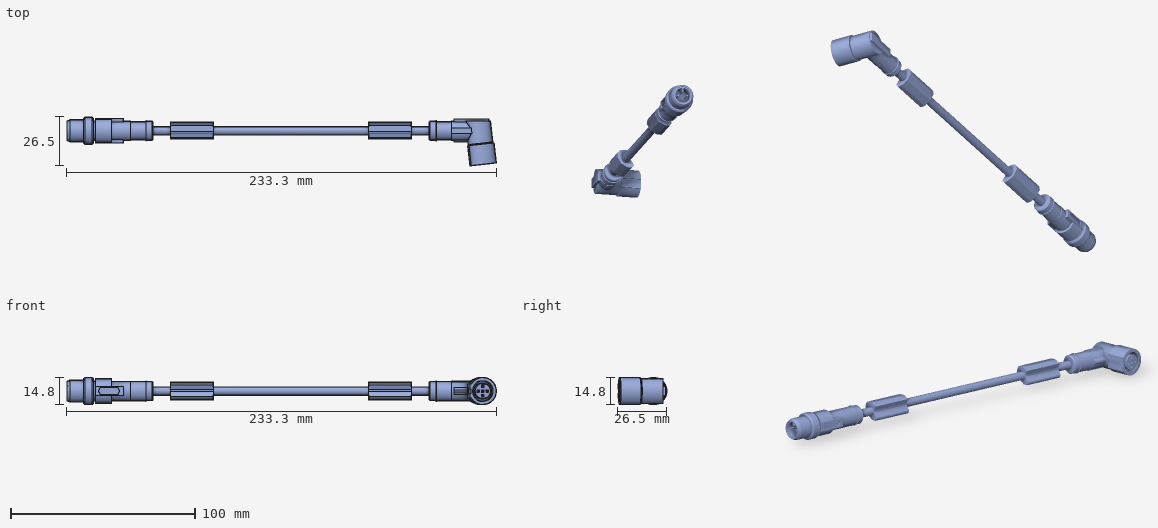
import cadquery as cq
import math

TOTAL_LENGTH = 233.31
LOWEST_Y = -19.1
NUT_RADIUS = 7.4
CABLE_RADIUS = 2.3

CONTACT_CIRCLE_RADIUS = 2.5
PIN_RADIUS = 0.5
PIN_ANGLES = (0, 90, 180)
CONTACT_HOLE_RADIUS = 0.7
CONTACT_HOLE_ANGLES = (0, 90, 180, 270)
CONTACT_HOLE_DEPTH = 5.0

THREAD_START = 1.8
THREAD_END = 9.2
THREAD_RADIUS = 6.0
TIP_RADIUS = 5.2
NUT_END = 14.5
NUT_CHAMFER = 0.7
NECK_RADIUS = 5.4
COLLAR_START = 15.5
COLLAR_END = 24.4
COLLAR_RADIUS = 6.7
BODY_RADIUS = 5.3
BODY_END = 34.7
PLUG_END = 46.9
PLUG_BORE_RADIUS = 4.1
PLUG_MOUTH_RADIUS = 4.7
PLUG_MOUTH_DEPTH = 0.8
PLUG_BORE_DEPTH = 8.0
PIN_TIP_INSET = 1.0
KEY_WIDTH = 1.0
KEY_HEIGHT = 0.9

PAD_HALF_WIDTH = 2.5
PLUG_PAD_END = 30.7
PAD_POCKET_START = 17.2
PAD_POCKET_LENGTH = 11.5
PAD_POCKET_WIDTH = 3.6
PAD_POCKET_DEPTH = 0.6

RELIEF_HALF_WIDTH_Y = 4.95
RELIEF_RING_RADIUS = 5.6
RELIEF_RING_WIDTH = 0.2
RELIEF_TAIL_LENGTH = 4.0
RELIEF_TAIL_RADIUS = 5.2
RELIEF_TAIL_CHAMFER = 0.5
RELIEF_LENGTH = PLUG_END - BODY_END

MARKER_LENGTH = 23.3
MARKER_STARTS = (56.3, 163.9)
MARKER_HALF_SIZE = 4.8

SOCKET_START = 196.8
SOCKET_BODY_START = SOCKET_START + RELIEF_LENGTH
SOCKET_PAD_START = 210.2
SOCKET_PAD_END = 229.2
SOCKET_PAD_HEIGHT = 6.5
RIDGE_DEPTH = 6.2
RIDGE_BASE_DEPTH = 4.8
RIDGE_BASE_HALF_WIDTH = 2.0
RIDGE_CREST_HALF_WIDTH = 0.5
SIDE_RIB_START = 209.0
SIDE_RIB_END = 220.0
SIDE_RIB_HALF_WIDTH = 1.6
SIDE_RIB_HEIGHT = 5.5
HEAD_TILT = 6.5
HEAD_RADIUS = 6.8
HEAD_TOP_Y = 5.3
SOCKET_NUT_LENGTH = 11.0
SOCKET_GAP = 0.6
SOCKET_GAP_RADIUS = 5.8
SOCKET_NUT_BORE_RADIUS = 5.6
SOCKET_INSERT_RADIUS = 4.2
SOCKET_RECESS_DEPTH = 7.0
NUT_PAD_HALF_WIDTH = 3.85
NUT_PAD_HEIGHT = 7.1
NUT_PAD_GROOVE_WIDTH = 2.4
NUT_PAD_GROOVE_DEPTH = 0.5

tilt = math.radians(HEAD_TILT)
FACE_CENTER_X = TOTAL_LENGTH - NUT_RADIUS * math.cos(tilt)
FACE_CENTER_Y = LOWEST_Y + NUT_PAD_HEIGHT * math.sin(tilt)


def rod(start, end, radius):
    """Cylinder along X."""
    return cq.Workplane("YZ").workplane(offset=start).circle(radius).extrude(end - start)


def box(x_range, y_range, z_range):
    """Box between the given limits along each axis."""
    sizes = [high - low for low, high in (x_range, y_range, z_range)]
    corner = (x_range[0], y_range[0], z_range[0])
    return cq.Workplane("XY").box(*sizes, centered=False).translate(corner)


def contact_points(angles):
    """Positions on the contact circle at the given angles in degrees."""
    radians = [math.radians(angle) for angle in angles]
    return [(CONTACT_CIRCLE_RADIUS * math.cos(a), CONTACT_CIRCLE_RADIUS * math.sin(a)) for a in radians]


def strain_relief():
    """Elliptical barrel from X = 0, with a ring and a chamfered tail at the cable end."""
    ring_start = RELIEF_LENGTH - RELIEF_TAIL_LENGTH
    ring_end = ring_start + RELIEF_RING_WIDTH
    barrel = cq.Workplane("YZ").ellipse(RELIEF_HALF_WIDTH_Y, BODY_RADIUS).extrude(ring_start)
    ring = rod(ring_start, ring_end, RELIEF_RING_RADIUS)
    tail = rod(ring_end, RELIEF_LENGTH, RELIEF_TAIL_RADIUS).edges(">X").chamfer(RELIEF_TAIL_CHAMFER)
    return barrel.union(ring).union(tail)


def plug_pads():
    """Pads on both sides of the plug, each with a long pointed pocket."""
    pads = box(
        (COLLAR_START, PLUG_PAD_END), (-COLLAR_RADIUS, COLLAR_RADIUS), (-PAD_HALF_WIDTH, PAD_HALF_WIDTH)
    )
    pocket_end = PAD_POCKET_START + PAD_POCKET_LENGTH
    half = PAD_POCKET_WIDTH / 2
    floor = COLLAR_RADIUS - PAD_POCKET_DEPTH
    pocket = (
        cq.Workplane("XZ")
        .polyline([
            (PAD_POCKET_START, 0), (PAD_POCKET_START + half / 2, half), (pocket_end - half / 2, half),
            (pocket_end, 0), (pocket_end - half / 2, -half), (PAD_POCKET_START + half / 2, -half),
        ])
        .close().extrude(PAD_POCKET_DEPTH).translate((0, -floor, 0))
    )
    return pads, pocket.union(pocket.mirror("XZ"))


def plug():
    """Straight male plug with threaded ring, collar, pads and strain relief."""
    tip = (
        cq.Workplane("YZ").circle(TIP_RADIUS)
        .workplane(offset=THREAD_START).circle(THREAD_RADIUS).loft()
    )
    nut = rod(THREAD_END, NUT_END, NUT_RADIUS).edges().chamfer(NUT_CHAMFER)
    pads, pockets = plug_pads()
    body = tip.union(rod(THREAD_START, THREAD_END, THREAD_RADIUS)).union(nut)
    body = body.union(rod(NUT_END, COLLAR_START, NECK_RADIUS))
    body = body.union(rod(COLLAR_START, COLLAR_END, COLLAR_RADIUS))
    body = body.union(rod(COLLAR_END, BODY_END, BODY_RADIUS)).union(pads).cut(pockets)
    body = body.union(strain_relief().translate((BODY_END, 0, 0)))
    body = body.cut(rod(0, PLUG_BORE_DEPTH, PLUG_BORE_RADIUS))
    body = body.cut(rod(0, PLUG_MOUTH_DEPTH, PLUG_MOUTH_RADIUS))
    pins = (
        cq.Workplane("YZ").workplane(offset=PIN_TIP_INSET).pushPoints(contact_points(PIN_ANGLES))
        .circle(PIN_RADIUS).extrude(PLUG_BORE_DEPTH - PIN_TIP_INSET)
    )
    key_top = (PLUG_BORE_RADIUS + TIP_RADIUS) / 2
    key = box(
        (PIN_TIP_INSET, PLUG_BORE_DEPTH),
        (-KEY_WIDTH / 2, KEY_WIDTH / 2),
        (PLUG_BORE_RADIUS - KEY_HEIGHT, key_top),
    )
    return body.union(pins).union(key)


def marker(start):
    """Clip around the cable whose V-shaped mouth opens towards -Y."""
    top = MARKER_HALF_SIZE
    outline = [
        (-0.4, top), (-1.6, 4.2), (-3.6, 3.3), (-2.4, 0.9), (-2.4, -0.2),
        (-4.4, -2.9), (-4.4, -3.7), (-3.4, -top), (-1.0, -top), (2.6, -2.8), (top, 1.0),
        (4.4, 3.2), (3.7, 4.2), (2.9, top),
    ]
    return cq.Workplane("YZ").workplane(offset=start).polyline(outline).close().extrude(MARKER_LENGTH)


def head():
    """Tilted socket head: housing, coupling nut, recess, insert and contact holes."""
    inward = (-math.sin(tilt), math.cos(tilt), 0)
    face = cq.Plane(origin=(FACE_CENTER_X, FACE_CENTER_Y, 0), xDir=(0, 0, 1), normal=inward)
    base = cq.Workplane(face)
    housing_start = SOCKET_NUT_LENGTH + SOCKET_GAP
    housing_end = (HEAD_TOP_Y + HEAD_RADIUS * math.sin(tilt) - FACE_CENTER_Y) / math.cos(tilt)
    housing = base.workplane(offset=housing_start).circle(HEAD_RADIUS).extrude(housing_end - housing_start)
    above = box(
        (SOCKET_BODY_START, TOTAL_LENGTH),
        (HEAD_TOP_Y, HEAD_TOP_Y + HEAD_RADIUS),
        (-NUT_RADIUS, NUT_RADIUS),
    )
    housing = housing.cut(above)
    gap = base.workplane(offset=SOCKET_NUT_LENGTH).circle(SOCKET_GAP_RADIUS).extrude(SOCKET_GAP)
    nut = base.circle(NUT_RADIUS).extrude(SOCKET_NUT_LENGTH)
    nut_pad = (
        base.center(0, -NUT_PAD_HEIGHT / 2).rect(2 * NUT_PAD_HALF_WIDTH, NUT_PAD_HEIGHT)
        .extrude(SOCKET_NUT_LENGTH)
    )
    pad_groove = (
        base.center(0, -NUT_PAD_HEIGHT).rect(NUT_PAD_GROOVE_WIDTH, 2 * NUT_PAD_GROOVE_DEPTH)
        .extrude(SOCKET_NUT_LENGTH)
    )
    nut_crown = (
        base.center(0, -NUT_RADIUS).rect(2 * NUT_PAD_HALF_WIDTH, 2 * (NUT_RADIUS - NUT_PAD_HEIGHT))
        .extrude(SOCKET_NUT_LENGTH)
    )
    nut = nut.cut(nut_crown).union(nut_pad).cut(pad_groove)
    recess = (
        base.circle(SOCKET_NUT_BORE_RADIUS).circle(SOCKET_INSERT_RADIUS).extrude(SOCKET_RECESS_DEPTH)
    )
    hole_points = [(0, 0)] + contact_points(CONTACT_HOLE_ANGLES)
    contacts = base.pushPoints(hole_points).circle(CONTACT_HOLE_RADIUS).extrude(CONTACT_HOLE_DEPTH)
    keyway = (
        base.center(SOCKET_INSERT_RADIUS, 0).rect(2 * KEY_HEIGHT, KEY_WIDTH).extrude(SOCKET_RECESS_DEPTH)
    )
    return housing.union(gap).union(nut).cut(recess).cut(contacts).cut(keyway)


def socket():
    """Angled female socket with strain relief, grip pads and side ribs."""
    relief = strain_relief().mirror("YZ").translate((SOCKET_BODY_START, 0, 0))
    axis_x = FACE_CENTER_X + FACE_CENTER_Y * math.tan(tilt)
    arm = rod(SOCKET_BODY_START, axis_x, BODY_RADIUS)
    pad_width = (-PAD_HALF_WIDTH, PAD_HALF_WIDTH)
    upper_pad = box((SOCKET_PAD_START, SOCKET_PAD_END), (0, SOCKET_PAD_HEIGHT), pad_width)
    ridge = (
        cq.Workplane("YZ").workplane(offset=SOCKET_PAD_START)
        .polyline([
            (0, RIDGE_BASE_HALF_WIDTH), (-RIDGE_BASE_DEPTH, RIDGE_BASE_HALF_WIDTH),
            (-RIDGE_DEPTH, RIDGE_CREST_HALF_WIDTH), (-RIDGE_DEPTH, -RIDGE_CREST_HALF_WIDTH),
            (-RIDGE_BASE_DEPTH, -RIDGE_BASE_HALF_WIDTH), (0, -RIDGE_BASE_HALF_WIDTH),
        ])
        .close().extrude(axis_x - SOCKET_PAD_START)
    )
    ribs = box(
        (SIDE_RIB_START, SIDE_RIB_END),
        (-SIDE_RIB_HALF_WIDTH, SIDE_RIB_HALF_WIDTH),
        (-SIDE_RIB_HEIGHT, SIDE_RIB_HEIGHT),
    )
    return relief.union(arm).union(upper_pad).union(ridge).union(ribs).union(head())


cable = rod(PLUG_END - RELIEF_TAIL_LENGTH, SOCKET_START + RELIEF_TAIL_LENGTH, CABLE_RADIUS)
result = plug().union(cable)
for marker_start in MARKER_STARTS:
    result = result.union(marker(marker_start))
result = result.union(socket())